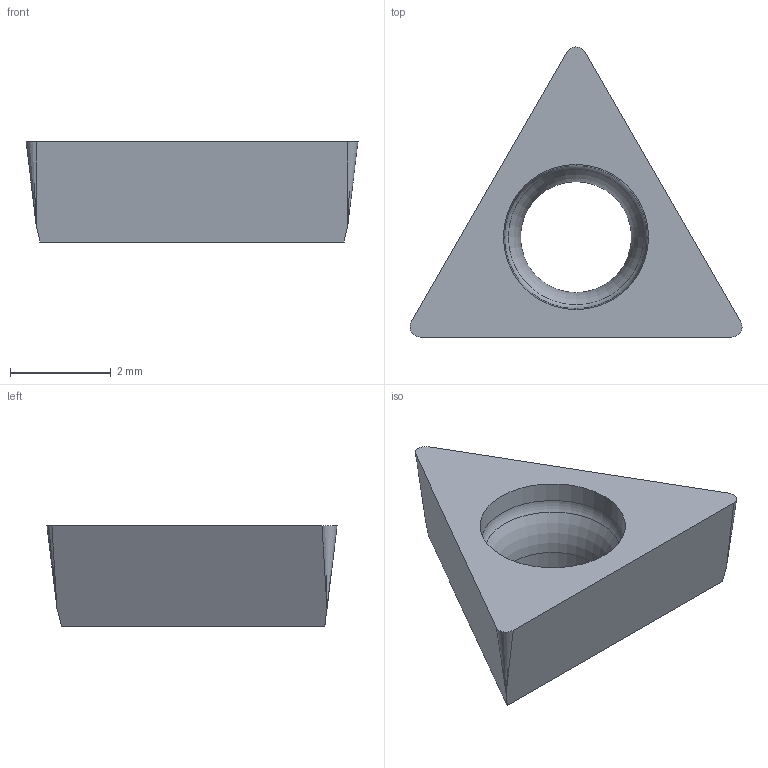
import cadquery as cq
import math

inscribed_diameter = 3.969
thickness = 1.984
corner_radius = 0.2
flank_angle = math.radians(7)

bore_radius = 2.2 / 2
rim_radius = 1.44
wall_draft = math.radians(3)
wall_depth = 0.39
cove_radius = 0.45
seat_radius = 1.45

corner_count = 3
corner_sector = 360 / corner_count
top_inradius = inscribed_diameter / 2
bottom_inradius = top_inradius - thickness * math.tan(flank_angle)
corner_center_distance = 2 * (top_inradius - corner_radius)
cone_height = corner_radius / math.tan(flank_angle)
apex_z = thickness - cone_height


def triangle(inradius, z):
    """Equilateral triangle wire with one side facing -Y and one corner on +Y."""
    half_side = inradius * math.sqrt(3)
    points = [(-half_side, -inradius), (half_side, -inradius), (0, 2 * inradius)]
    return cq.Workplane("XY").workplane(offset=z).polyline(points).close().wires().val()


def sharp_body():
    """Triangular frustum with sharp corners."""
    wires = [triangle(bottom_inradius, 0), triangle(top_inradius, thickness)]
    return cq.Workplane("XY").add(cq.Solid.makeLoft(wires, ruled=True))


def corner_wedge():
    """Material of the +Y corner between its two tangent lines, above the cone apex."""
    half_sector = math.radians(corner_sector / 2)
    tangent_x = corner_radius * math.sin(half_sector)
    tangent_y = corner_center_distance + corner_radius * math.cos(half_sector)
    tip_y = 2 * top_inradius
    outline = [(0, corner_center_distance), (tangent_x, tangent_y), (0, tip_y), (-tangent_x, tangent_y)]
    return cq.Workplane("XY").workplane(offset=apex_z).polyline(outline).close().extrude(cone_height)


def corner_cone():
    """Cone sector that rounds the +Y corner, its apex pointing down."""
    apex = cq.Vector(0, corner_center_distance, apex_z)
    up = cq.Vector(0, 0, 1)
    start_angle = 90 - corner_sector / 2
    cone = cq.Solid.makeCone(0, corner_radius, cone_height, apex, up, corner_sector)
    return cq.Workplane("XY").add(cone.rotate(apex, apex + up, start_angle))


def screw_hole():
    """Drafted wall, concave cove and convex seat running tangent into the bore."""
    wall_end_radius = rim_radius - wall_depth * math.tan(wall_draft)
    wall_end_z = thickness - wall_depth

    cove_x = wall_end_radius - cove_radius * math.cos(wall_draft)
    cove_z = wall_end_z + cove_radius * math.sin(wall_draft)

    seat_x = bore_radius + seat_radius
    joint_angle = math.acos((seat_x - cove_x) / (seat_radius + cove_radius))
    seat_z = cove_z - (seat_radius + cove_radius) * math.sin(joint_angle)

    def on_cove(angle):
        return (cove_x + cove_radius * math.cos(angle), cove_z - cove_radius * math.sin(angle))

    def on_seat(angle):
        return (seat_x - seat_radius * math.cos(angle), seat_z + seat_radius * math.sin(angle))

    profile = (
        cq.Workplane("XZ")
        .moveTo(0, thickness)
        .lineTo(rim_radius, thickness)
        .lineTo(wall_end_radius, wall_end_z)
        .threePointArc(on_cove((wall_draft + joint_angle) / 2), on_cove(joint_angle))
        .threePointArc(on_seat(joint_angle / 2), on_seat(0))
        .lineTo(bore_radius, 0)
        .lineTo(0, 0)
        .close()
    )
    return profile.revolve(360, (0, 0, 0), (0, 1, 0))


result = sharp_body()
for index in range(corner_count):
    turn = index * corner_sector
    result = result.cut(corner_wedge().rotate((0, 0, 0), (0, 0, 1), turn))
    result = result.union(corner_cone().rotate((0, 0, 0), (0, 0, 1), turn))
result = result.cut(screw_hole())